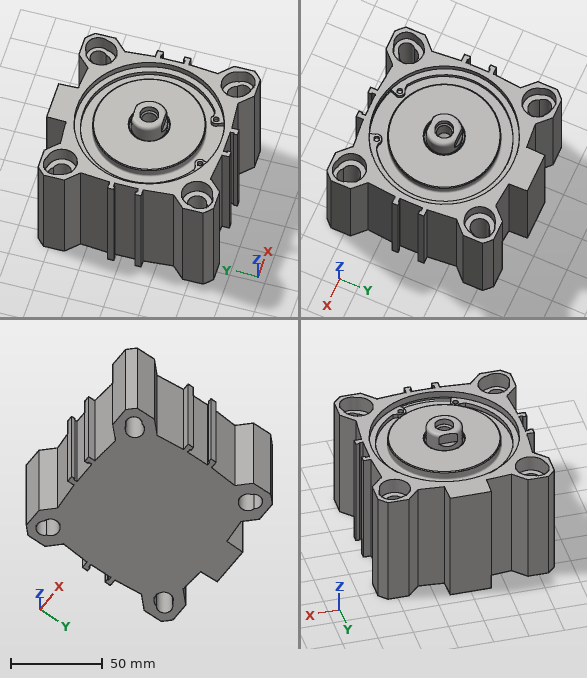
import cadquery as cq
import math


width = 100.0
half_width = width / 2
housing_height = 66.0
corner_radius = 67.5
post_inner = 33.7
waist_x = 26.5
waist_y = half_width - (post_inner - waist_x)
slot_floor = 44.2

rail_outer = 9.6
rail_inner = 6.7
lip_inner = 6.0
rail_top = 48.4
lip_bottom = 46.2

port_base_half = 12.0
port_tip_half = 11.7
overall_depth = 105.0
port_y = overall_depth - half_width

bolt_offset = 38.5
bolt_diameter = 10.5
bolt_head_diameter = 17.0
relief_offset = 41.0
relief_diameter = 9.0
relief_head_diameter = 14.0
bolt_head_depth = 9.0

seat_diameter = 82.1
seat_depth = 21.0
groove_diameter = 85.6
ring_thickness = 2.5
flange_depth = 6.5

cover_bottom = housing_height - seat_depth
flange_z = housing_height - flange_depth
boss_diameter = 62.0
boss_height = 5.5
boss_chamfer = 0.5
boss_foot_fillet = 1.0
recess_diameter = 21.9
recess_depth = 2.0
recess_chamfer = 0.5

ring_inner_diameter = 75.2
lug_x = 15.5
lug_y = 33.5
lug_diameter = 5.7
lug_hole_diameter = 3.0
lug_shoulder_x = 20.7
lug_shoulder_y = 31.5
gap_half_angle = math.radians(20.5)

rod_diameter = 20.0
rod_top = 74.0
rod_fillet = 2.0
flat_width = 17.0
flat_length = 6.1
rod_bore_diameter = 10.3
rod_bore_depth = 3.5
tap_diameter = 8.4
tap_depth = 14.7
drill_half_angle = math.radians(59)


def disc(diameter, z_bottom, height):
    """Cylinder about the Z axis."""
    return cq.Workplane("XY").workplane(offset=z_bottom).circle(diameter / 2).extrude(height)


def make_rail(side):
    """One L-shaped rail on the +X face, its lip pointing toward the slot; side is +1 or -1."""
    points = [
        (waist_y, side * rail_outer),
        (rail_top, side * rail_outer),
        (rail_top, side * lip_inner),
        (lip_bottom, side * lip_inner),
        (lip_bottom, side * rail_inner),
        (waist_y, side * rail_inner),
    ]
    return cq.Workplane("XY").polyline(points).close().extrude(housing_height)


def make_profile():
    """Four-post extrusion, its posts rounded about the cylinder axis."""
    side_points = [
        (half_width, -half_width),
        (half_width, -post_inner),
        (waist_y, -waist_x),
        (slot_floor, -rail_outer),
        (slot_floor, rail_outer),
        (waist_y, waist_x),
        (half_width, post_inner),
    ]
    outline = []
    for _ in range(4):
        outline += side_points
        side_points = [(-y, x) for x, y in side_points]
    posts = cq.Workplane("XY").polyline(outline).close().extrude(housing_height)
    return posts.intersect(disc(2 * corner_radius, 0, housing_height))


def make_port_block():
    """Full-height block on the +Y side, tapering slightly outward."""
    points = [
        (-port_base_half, waist_y),
        (-port_base_half, slot_floor),
        (-port_tip_half, port_y),
        (port_tip_half, port_y),
        (port_base_half, slot_floor),
        (port_base_half, waist_y),
    ]
    return cq.Workplane("XY").polyline(points).close().extrude(housing_height)


def make_mounting_hole(x_sign, y_sign):
    """Counterbored bolt hole widened toward the corner by a smaller circle."""
    head_z = housing_height - bolt_head_depth
    circles = [
        (bolt_offset, bolt_diameter, 0),
        (relief_offset, relief_diameter, 0),
        (bolt_offset, bolt_head_diameter, head_z),
        (relief_offset, relief_head_diameter, head_z),
    ]
    hole = cq.Workplane("XY")
    for offset, diameter, bottom in circles:
        cutter = disc(diameter, bottom, housing_height - bottom)
        hole = hole.union(cutter.translate((x_sign * offset, y_sign * offset, 0)))
    return hole


def make_housing():
    """Extruded body with rails, port block, mounting holes, cover seat and ring groove."""
    body = make_profile().union(make_port_block())
    for turn in (0, 180, -90):
        for side in (-1, 1):
            body = body.union(make_rail(side).rotate((0, 0, 0), (0, 0, 1), turn))
    for x_sign in (-1, 1):
        for y_sign in (-1, 1):
            body = body.cut(make_mounting_hole(x_sign, y_sign))
    body = body.cut(disc(seat_diameter, cover_bottom, seat_depth))
    return body.cut(disc(groove_diameter, flange_z, ring_thickness))


def make_cover():
    """Flanged cover with a raised boss, revolved from its half section."""
    seat_r = seat_diameter / 2
    boss_r = boss_diameter / 2
    rod_r = rod_diameter / 2
    recess_r = recess_diameter / 2
    boss_top = flange_z + boss_height
    fillet_drop = boss_foot_fillet * (1 - math.sqrt(0.5))
    section = (
        cq.Workplane("XZ")
        .moveTo(rod_r, cover_bottom)
        .lineTo(seat_r, cover_bottom)
        .lineTo(seat_r, flange_z)
        .lineTo(boss_r + boss_foot_fillet, flange_z)
        .threePointArc(
            (boss_r + fillet_drop, flange_z + fillet_drop),
            (boss_r, flange_z + boss_foot_fillet),
        )
        .lineTo(boss_r, boss_top - boss_chamfer)
        .lineTo(boss_r - boss_chamfer, boss_top)
        .lineTo(recess_r + recess_chamfer, boss_top)
        .lineTo(recess_r, boss_top - recess_chamfer)
        .lineTo(recess_r, boss_top - recess_depth)
        .lineTo(rod_r, boss_top - recess_depth)
        .close()
    )
    return section.revolve(360, (0, 0, 0), (0, 1, 0))


def make_retaining_ring():
    """Open ring in the housing groove, with a drilled lug at each end."""
    ring = disc(groove_diameter, flange_z, ring_thickness)
    ring = ring.cut(disc(ring_inner_diameter, flange_z, ring_thickness))
    base = cq.Workplane("XY").workplane(offset=flange_z)
    envelope = disc(seat_diameter, flange_z, ring_thickness)
    for side in (-1, 1):
        shoulder = (
            base.moveTo(side * lug_x, -lug_shoulder_y)
            .lineTo(side * lug_shoulder_x, -lug_shoulder_y)
            .lineTo(side * lug_shoulder_x, -half_width)
            .lineTo(side * lug_x, -half_width)
            .close()
            .extrude(ring_thickness)
            .intersect(envelope)
        )
        lug = disc(lug_diameter, flange_z, ring_thickness).translate((side * lug_x, -lug_y, 0))
        ring = ring.union(shoulder).union(lug)
    gap_x = half_width * math.tan(gap_half_angle)
    gap_points = [(0, 0), (-gap_x, -half_width), (gap_x, -half_width)]
    gap = base.polyline(gap_points).close().extrude(ring_thickness)
    ring = ring.cut(gap)
    lug_holes = (
        base.pushPoints([(-lug_x, -lug_y), (lug_x, -lug_y)])
        .circle(lug_hole_diameter / 2)
        .extrude(ring_thickness)
    )
    return ring.cut(lug_holes)


def make_rod_hole():
    """Stepped tapped hole with a conical step and a conical drill point."""
    bore_r = rod_bore_diameter / 2
    tap_r = tap_diameter / 2
    step_z = rod_top - rod_bore_depth
    tap_z = rod_top - tap_depth
    points = [
        (0, rod_top),
        (bore_r, rod_top),
        (bore_r, step_z),
        (tap_r, step_z - (bore_r - tap_r)),
        (tap_r, tap_z),
        (0, tap_z - tap_r / math.tan(drill_half_angle)),
    ]
    return cq.Workplane("XZ").polyline(points).close().revolve(360, (0, 0, 0), (0, 1, 0))


def make_rod():
    """Round rod with two wrench flats near its tip and a tapped end."""
    rod = disc(rod_diameter, cover_bottom, rod_top - cover_bottom).faces(">Z").edges().fillet(rod_fillet)
    flat_y = flat_width / 2
    rod_r = rod_diameter / 2
    flat_z = rod_top - flat_length
    for side in (-1, 1):
        cutter = (
            cq.Workplane("YZ")
            .polyline(
                [
                    (side * flat_y, rod_top),
                    (side * flat_y, flat_z),
                    (side * rod_r, flat_z - (rod_r - flat_y)),
                    (side * rod_r, rod_top),
                ]
            )
            .close()
            .extrude(rod_r, both=True)
        )
        rod = rod.cut(cutter)
    return rod.cut(make_rod_hole())


housing = make_housing()
cover = make_cover()
retaining_ring = make_retaining_ring()
rod = make_rod()

bodies = [housing, cover, retaining_ring, rod]
result = cq.Compound.makeCompound([body.solids().val() for body in bodies])